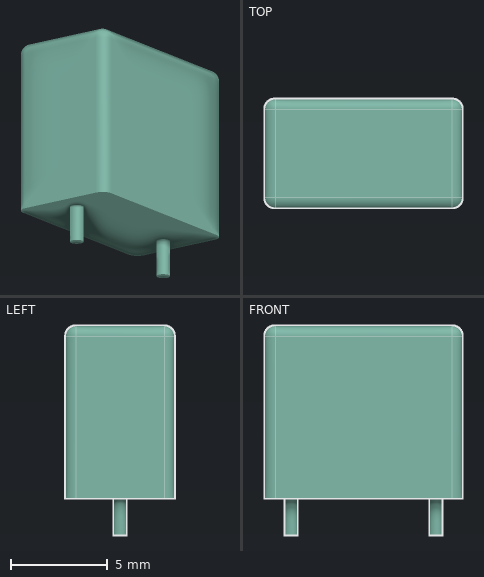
import cadquery as cq

body_length = 10.3
body_width = 5.7
body_height = 9.0
edge_radius = body_width / 10

pin_diameter = 0.7
pin_pitch = 7.5
pin_length = 1.9


def make_body():
    """Block with rounded upright and top edges and a sharp bottom edge."""
    block = cq.Workplane("XY").box(
        body_length, body_width, body_height, centered=(True, True, False)
    )
    return block.edges("|Z or >Z").fillet(edge_radius)


def make_pins():
    """Pair of pins on the long centre line, hanging from the body's bottom face."""
    return (
        cq.Workplane("XY")
        .pushPoints([(-pin_pitch / 2, 0), (pin_pitch / 2, 0)])
        .circle(pin_diameter / 2)
        .extrude(-pin_length)
    )


result = make_body().union(make_pins())